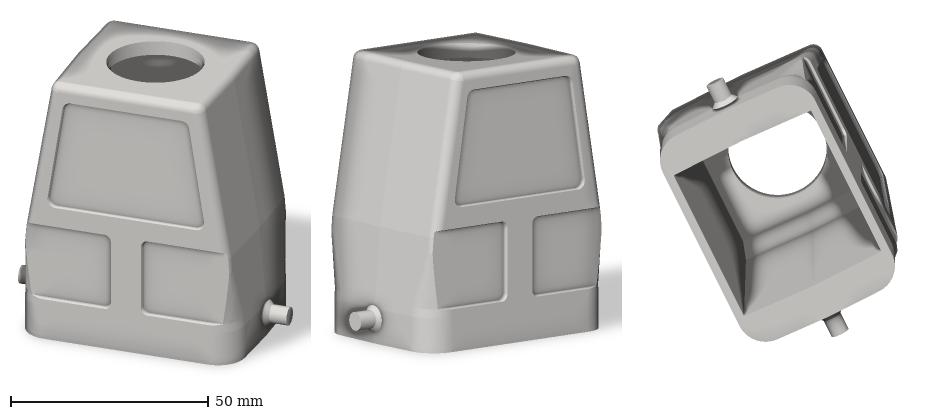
import cadquery as cq
import math

hood_height = 71.6
body_half_depth = 21.5
skirt_height = 9.1
skirt_half_width = 29.9
shoulder_height = 29.9
shoulder_half_width = 28.2
top_half_width = 21.0
ridge_rise = 0.6
skirt_radius = 7.3
edge_radius = 2.5
top_edge_radius = 2.25
blend_start = 11.3
blend_end = 25.85

roof_thickness = 3.8
entry_diameter = 25.0
cavity_knee_height = 55.5
cavity_knee_half_width = 20.0
cavity_knee_half_depth = 18.4
cavity_draft = 1

wall_draft = 0.35
lower_panel_depth = 1.1
lower_panel_bottom = 11.0
lower_panel_top = 31.7
lower_panel_inner = 4.1
lower_panel_radius = 1.95
upper_panel_depth = 0.9
upper_panel_bottom = 37
upper_panel_top = 66.9
upper_panel_bottom_half = 21.55
upper_panel_top_half = 16.85
upper_panel_radius = 2.5

pin_reach = 36.3
pin_height = 6.45
pin_diameter = 4.8
collar_diameter = 7.0
collar_back_diameter = 5.95
collar_widest = 30.4
collar_end = 31.6
pin_embed = 1.1


def ridged_points(height, half_width, half_depth):
    """Corners of a six-sided outline whose two end walls come to a slight ridge in the middle."""
    corner_x = half_width - ridge_rise * half_depth / body_half_depth
    plan = [
        (half_width, 0),
        (corner_x, half_depth),
        (-corner_x, half_depth),
        (-half_width, 0),
        (-corner_x, -half_depth),
        (corner_x, -half_depth),
    ]
    return [cq.Vector(x, y, height) for x, y in plan]


def ridged_block(levels):
    """Flat-faced block through a ridged outline at each (height, half width, half depth) level."""
    rings = [ridged_points(*level) for level in levels]
    outlines = [rings[0], rings[-1]]
    for below, above in zip(rings, rings[1:]):
        for i in range(len(below)):
            outlines.append([below[i - 1], below[i], above[i], above[i - 1]])
    faces = [cq.Face.makeFromWires(cq.Wire.makePolygon(points, close=True)) for points in outlines]
    return cq.Workplane(cq.Solid.makeSolid(cq.Shell.makeShell(faces)))


def rounded_section(height, corner_radius):
    """Outline below the shoulder with its four corners rounded."""
    points = ridged_points(height, lower_half_width(height), body_half_depth)
    wire = cq.Wire.makePolygon(points, close=True)
    corners = [vertex for vertex in wire.Vertices() if vertex.Y != 0]
    return wire.fillet2D(corner_radius, corners)


def lower_half_width(height):
    """Half width of the end walls: upright along the skirt, then leaning in up to the shoulder."""
    rise = max(0, height - skirt_height) / (shoulder_height - skirt_height)
    return skirt_half_width + rise * (shoulder_half_width - skirt_half_width)


def upper_body():
    block = ridged_block(
        [
            (blend_end, lower_half_width(blend_end), body_half_depth),
            (shoulder_height, shoulder_half_width, body_half_depth),
            (hood_height, top_half_width, body_half_depth),
        ]
    )
    upright = block.edges("(<Y or >Y) and (not |X)")
    rounded = upright.fillet(edge_radius)
    return rounded.faces(">Z").edges().fillet(top_edge_radius)


def lower_body():
    sections = [
        rounded_section(0, skirt_radius),
        rounded_section(skirt_height, skirt_radius),
        rounded_section(blend_start, skirt_radius),
        rounded_section(blend_end, edge_radius),
    ]
    return cq.Workplane(cq.Solid.makeLoft(sections, True))


def cavity():
    roof_height = hood_height - roof_thickness
    above_knee = roof_height - cavity_knee_height
    lean = (shoulder_half_width - top_half_width) / (hood_height - shoulder_height)
    draft = math.tan(math.radians(cavity_draft))
    mouth_growth = cavity_knee_height * draft
    hollow = ridged_block(
        [
            (0, cavity_knee_half_width + mouth_growth, cavity_knee_half_depth + mouth_growth),
            (cavity_knee_height, cavity_knee_half_width, cavity_knee_half_depth),
            (
                roof_height,
                cavity_knee_half_width - above_knee * lean,
                cavity_knee_half_depth - above_knee * draft,
            ),
        ]
    )
    entry = (
        cq.Workplane("XY", origin=(0, 0, roof_height))
        .circle(entry_diameter / 2)
        .extrude(roof_thickness)
    )
    return hollow.union(entry)


def sunk_panel(points, corner_radius, depth):
    """Cutter for a panel in the -Y wall, with walls that slope in towards its floor."""
    slope = math.degrees(math.atan2(wall_draft, depth))
    block = (
        cq.Workplane("XZ", origin=(0, -body_half_depth, 0))
        .polyline(points).close()
        .extrude(-depth, taper=slope)
    )
    return block.edges("not(#Y)").fillet(corner_radius)


def panels():
    outer = pin_reach
    lower = sunk_panel(
        [
            (lower_panel_inner, lower_panel_bottom),
            (outer, lower_panel_bottom),
            (outer, lower_panel_top),
            (lower_panel_inner, lower_panel_top),
        ],
        lower_panel_radius,
        lower_panel_depth,
    )
    upper = sunk_panel(
        [
            (-upper_panel_bottom_half, upper_panel_bottom),
            (upper_panel_bottom_half, upper_panel_bottom),
            (upper_panel_top_half, upper_panel_top),
            (-upper_panel_top_half, upper_panel_top),
        ],
        upper_panel_radius,
        upper_panel_depth,
    )
    front = upper.union(lower).union(lower.mirror("YZ"))
    return front.union(front.mirror("XZ"))


def locking_pin():
    root = skirt_half_width - pin_embed
    profile = [
        (root, 0),
        (root, collar_back_diameter / 2),
        (skirt_half_width, collar_back_diameter / 2),
        (collar_widest, collar_diameter / 2),
        (collar_end, pin_diameter / 2),
        (pin_reach, pin_diameter / 2),
        (pin_reach, 0),
    ]
    pin = cq.Workplane("XY").polyline(profile).close().revolve(360, (0, 0, 0), (1, 0, 0))
    return pin.translate((0, 0, pin_height))


pin = locking_pin()
opposite_pin = pin.rotate((0, 0, 0), (0, 0, 1), 180)
shell = upper_body().union(lower_body()).cut(cavity()).cut(panels())
result = shell.union(pin).union(opposite_pin)